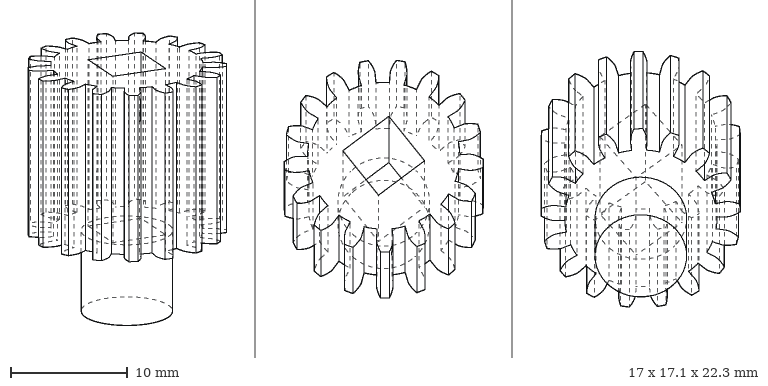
import cadquery as cq
import math

tooth_count = 17
outside_diameter = 17.1
pressure_angle = math.radians(14.5)
dedendum_ratio = 1.25
flank_steps = 6

total_height = 22.3
gear_height = 15.0
hub_height = total_height - gear_height

hub_diameter = 7.85
socket_side = 5.0
socket_depth = gear_height

module = outside_diameter / (tooth_count + 2)
tip_radius = outside_diameter / 2
pitch_radius = module * tooth_count / 2
root_radius = pitch_radius - dedendum_ratio * module
base_radius = pitch_radius * math.cos(pressure_angle)
tooth_pitch = 2 * math.pi / tooth_count


def involute(angle):
    """Involute function of a pressure angle."""
    return math.tan(angle) - angle


base_half_angle = tooth_pitch / 4 + involute(pressure_angle)


def polar(radius, angle):
    return (radius * math.cos(angle), radius * math.sin(angle))


def flank_half_angle(radius):
    """Half the angle that a tooth spans at a radius on its involute flank."""
    return base_half_angle - involute(math.acos(base_radius / radius))


def flank_points(center_angle, side):
    """Points from the base circle out to the tip; side is -1 or +1."""
    points = []
    for step in range(flank_steps + 1):
        radius = base_radius + (tip_radius - base_radius) * step / flank_steps
        points.append(polar(radius, center_angle + side * flank_half_angle(radius)))
    return points


def gear_outline():
    outline = cq.Workplane("XY").workplane(offset=hub_height)
    outline = outline.moveTo(*polar(root_radius, -base_half_angle))
    for tooth in range(tooth_count):
        center = tooth * tooth_pitch
        rising = flank_points(center, -1)
        falling = flank_points(center, 1)[::-1]
        root_end = polar(root_radius, center + base_half_angle)
        gap_middle = polar(root_radius, center + tooth_pitch / 2)
        next_root = polar(root_radius, center + tooth_pitch - base_half_angle)

        outline = outline.lineTo(*rising[0])
        outline = outline.spline(rising[1:], includeCurrent=True)
        outline = outline.threePointArc(polar(tip_radius, center), falling[0])
        outline = outline.spline(falling[1:], includeCurrent=True)
        outline = outline.lineTo(*root_end)
        outline = outline.threePointArc(gap_middle, next_root)
    return outline.close()


gear = gear_outline().extrude(gear_height)

hub = cq.Workplane("XY").circle(hub_diameter / 2).extrude(hub_height)

socket = (
    cq.Workplane("XY")
    .workplane(offset=total_height - socket_depth)
    .rect(socket_side, socket_side)
    .extrude(socket_depth)
)

result = gear.union(hub).cut(socket)